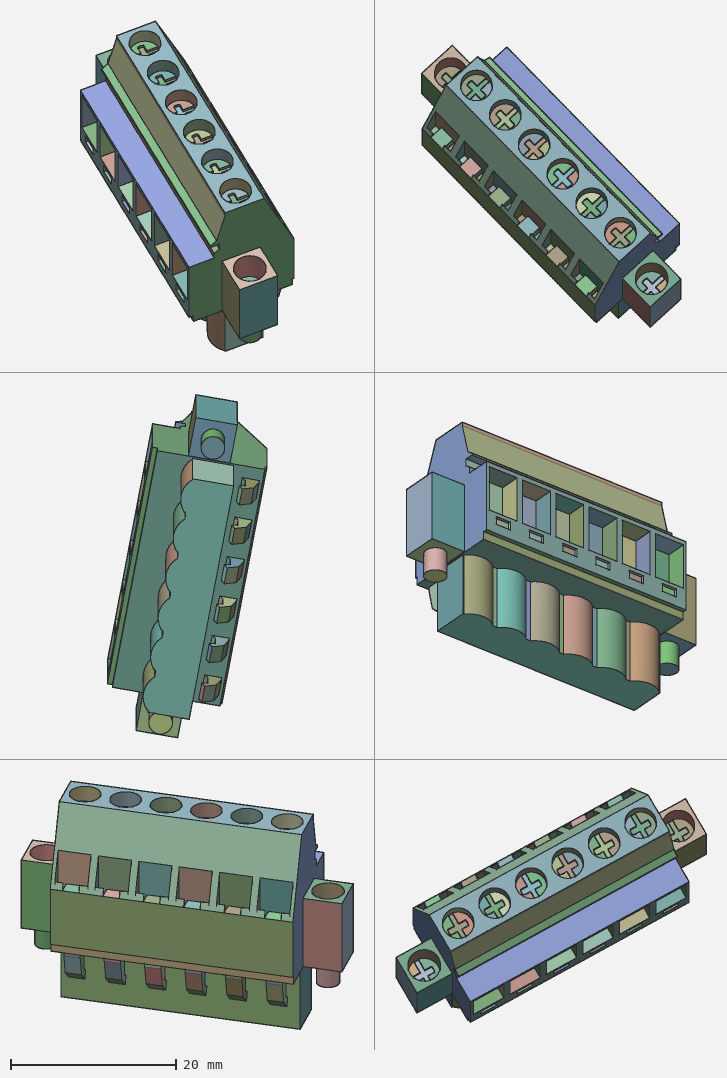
import cadquery as cq


pole_count = 6
pitch = 5.08
row_length = pole_count * pitch
pole_xs = [(i - (pole_count - 1) / 2) * pitch for i in range(pole_count)]

total_length = 40.3
depth = 14.1
height = 27.1

base_z = 8.38
step_z = 9.45
shoulder_z = 17.1
front_top_z = 19.17
neck_top_z = 20.0
groove_bottom_z = 20.5
lip_bottom_z = 21.45
lip_edge_z = 21.75
lip_root_z = 22.3
rim_bottom_z = 26.6

front_step = 0.6
back_step = 0.25
top_front_y = 4.85
top_back_y = 10.05
groove_y = 4.05
lip_root_y = 3.7
lip_y = 2.85
neck_y = 3.4

entry_width = 4.23
entry_bottom_z = 12.4
entry_top_z = 18.55
entry_depth = 2.85
slot_width = 2.15
slot_bottom_z = 10.75
slot_top_z = 11.9
slot_depth = 0.4

notch_width = 4.15
notch_front_y = 12.3
notch_wall = 0.35
notch_drop = 2
latch_width = 2.05

latch_outline = [
    (11.3, base_z),
    (11.72, 7.35),
    (11.72, 5.35),
    (10.95, 4.75),
    (11.3, 3.65),
    (12.75, 5.05),
    (13.4, 7.75),
    (13.4, base_z),
]

plug_width = 4.45
web_length = 30.05
web_back_y = 10.03
web_front_y = 4.95
plug_front_y = 4.0

flange_length = (total_length - row_length) / 2
flange_front_y = 4.45
flange_width = 5.1
flange_bottom_z = 8.5
flange_top_z = 17.95
flange_offset = (total_length - flange_length) / 2
flange_xs = [-flange_offset, flange_offset]
flange_y = flange_front_y + flange_width / 2

screw_y = 7.45
screw_diameter = 3.83
screw_length = 4.03
screw_recess = 2

flange_head_diameter = 3.95
flange_head_height = 1.6
flange_recess = 4.03
shank_diameter = 2.85
shank_bottom_z = 5.35

drive_depth = 0.4
long_slot_width = 0.6
short_slot_width = 0.8
short_slot_diameter = 2.6


def box(x_size, y_min, y_max, z_min, z_max, x_center=0):
    """Box centred on x_center in X and reaching between the given Y and Z limits."""
    return (
        cq.Workplane("XY")
        .box(x_size, y_max - y_min, z_max - z_min, centered=(True, False, False))
        .translate((x_center, y_min, z_min))
    )


def cylinder(diameter, x, y, z_min, z_max):
    """Upright cylinder between two heights."""
    return cq.Workplane("XY", origin=(x, y, z_min)).circle(diameter / 2).extrude(z_max - z_min)


def extrude_side(points, length, x_center=0):
    """Prism along X whose section is given by (Y, Z) points."""
    start_x = x_center - length / 2
    return cq.Workplane("YZ", origin=(start_x, 0, 0)).polyline(points).close().extrude(length)


def make_shell():
    """Main block with the sloped back, the grooved lip and the stepped base."""
    return extrude_side(
        [
            (front_step, base_z),
            (depth - back_step, base_z),
            (depth - back_step, step_z),
            (depth, step_z),
            (depth, shoulder_z),
            (top_back_y, height),
            (top_front_y, height),
            (top_front_y, rim_bottom_z),
            (lip_root_y, lip_root_z),
            (lip_y, lip_edge_z),
            (lip_y, lip_bottom_z),
            (groove_y, lip_bottom_z),
            (groove_y, groove_bottom_z),
            (neck_y, neck_top_z),
            (neck_y, front_top_z),
            (0, front_top_z),
            (0, step_z),
            (front_step, step_z),
        ],
        row_length,
    )


def make_latch(x):
    """Hooked latch arm hanging below the back of one pole."""
    return extrude_side(latch_outline, latch_width, x)


def make_plugs():
    """Row of plugs joined by a flat web, each with a rounded front."""
    plugs = box(web_length, web_front_y, web_back_y, 0, base_z)
    for x in pole_xs:
        rounded_front = (
            cq.Workplane("XY")
            .moveTo(x - plug_width / 2, web_front_y)
            .threePointArc((x, plug_front_y), (x + plug_width / 2, web_front_y))
            .close()
            .extrude(base_z)
        )
        plugs = plugs.union(rounded_front)
    return plugs


def make_notch(x):
    """Space cut into the sloped back: two side pockets and a shelf open to the back."""
    shelf = box(latch_width, notch_front_y, depth, shoulder_z, height, x)
    pockets = box(notch_width, notch_front_y, depth - notch_wall, shoulder_z - notch_drop, height, x)
    block = box(latch_width, notch_front_y, depth, shoulder_z - notch_drop, shoulder_z, x)
    return pockets.cut(block).union(shelf)


def add_flange(housing, x):
    """Add an end flange with a stepped hole for its screw."""
    head_top_z = flange_top_z - flange_recess
    head_bottom_z = head_top_z - flange_head_height
    flange_back_y = flange_front_y + flange_width
    flange = box(flange_length, flange_front_y, flange_back_y, flange_bottom_z, flange_top_z, x)
    head_hole = cylinder(flange_head_diameter, x, flange_y, head_bottom_z, flange_top_z)
    shank_hole = cylinder(shank_diameter, x, flange_y, flange_bottom_z, head_bottom_z)
    return housing.union(flange).cut(head_hole).cut(shank_hole)


def add_pole(housing, x):
    """Add the latch arm of one pole and cut its notch, front openings and screw hole."""
    screw_bottom_z = height - screw_recess - screw_length
    housing = housing.union(make_latch(x))
    housing = housing.cut(make_notch(x))
    housing = housing.cut(box(entry_width, 0, entry_depth, entry_bottom_z, entry_top_z, x))
    housing = housing.cut(box(slot_width, 0, slot_depth, slot_bottom_z, slot_top_z, x))
    return housing.cut(cylinder(screw_diameter, x, screw_y, screw_bottom_z, height))


def make_housing():
    """Shell, plugs, flanges and latch arms as one moulded body."""
    housing = make_shell().union(make_plugs())
    for x in flange_xs:
        housing = add_flange(housing, x)
    for x in pole_xs:
        housing = add_pole(housing, x)
    return housing


def cut_cross(screw, diameter, x, y, top_z):
    """Cut the cross recess into a screw head."""
    bottom_z = top_z - drive_depth
    long_slot = box(long_slot_width, y - diameter / 2, y + diameter / 2, bottom_z, top_z, x)
    half_width = short_slot_width / 2
    short_slot = box(short_slot_diameter, y - half_width, y + half_width, bottom_z, top_z, x)
    short_slot = short_slot.intersect(cylinder(short_slot_diameter, x, y, bottom_z, top_z))
    return screw.cut(long_slot).cut(short_slot)


def make_terminal_screw(x):
    """Plain cylindrical clamping screw sunk in the top of one pole."""
    top_z = height - screw_recess
    screw = cylinder(screw_diameter, x, screw_y, top_z - screw_length, top_z)
    return cut_cross(screw, screw_diameter, x, screw_y, top_z)


def make_flange_screw(x):
    """Headed fixing screw whose shank comes out below the flange."""
    top_z = flange_top_z - flange_recess
    head_z = top_z - flange_head_height
    head = cylinder(flange_head_diameter, x, flange_y, head_z, top_z)
    shank = cylinder(shank_diameter, x, flange_y, shank_bottom_z, head_z)
    return cut_cross(head.union(shank), flange_head_diameter, x, flange_y, top_z)


housing = make_housing()
terminal_screws = [make_terminal_screw(x) for x in pole_xs]
flange_screws = [make_flange_screw(x) for x in flange_xs]

result = cq.Compound.makeCompound(
    [housing.val()] + [screw.val() for screw in terminal_screws + flange_screws]
)